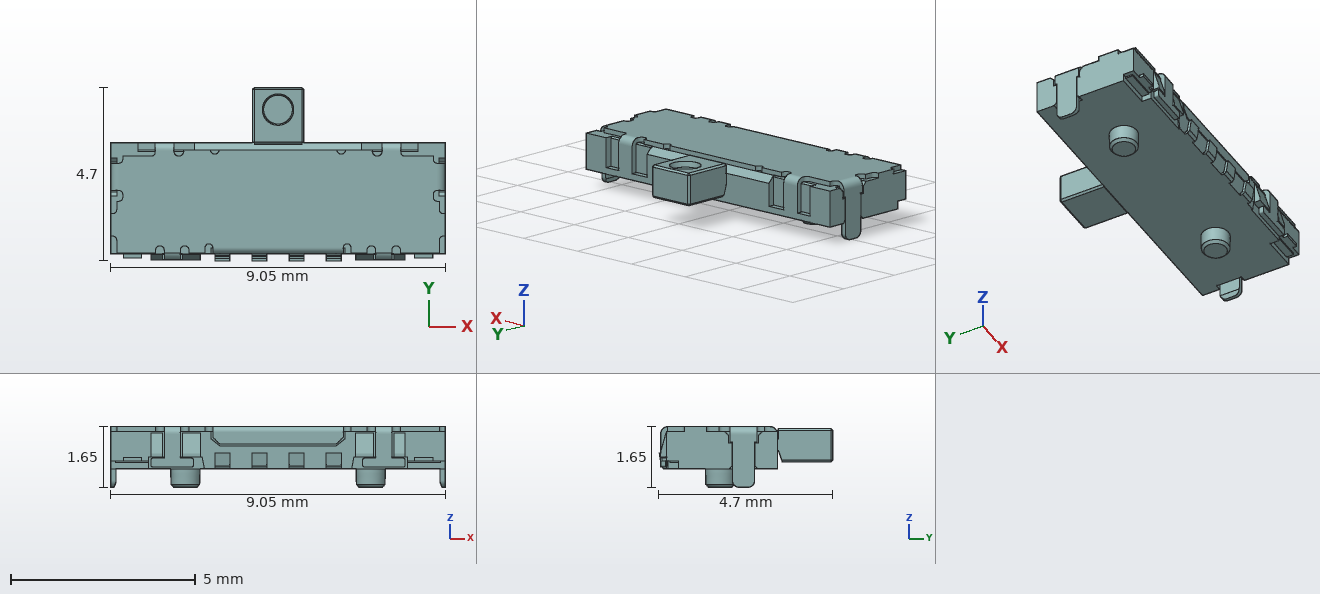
import cadquery as cq
import math


LENGTH = 9.05
HALF_LENGTH = LENGTH / 2
DEPTH = 3.005
HEIGHT = 1.01

COVER_TOP = 1.15
SHEET = 0.145
COVER_FRONT = 0.03
COVER_SIDE = 4.36
EAR_START = 0.48
EAR_END = 1.09
COVER_BACK = 2.815
CORNER_BACK = 2.64
CORNER_SIDE = 4.2
LEDGE_RADIUS = 0.11
RELIEF_DEPTH = 0.22
RELIEF_WIDTH = 0.235

TAB_X = 2.86
TAB_WIDTH = 0.43
TAB_REACH = 0.16
TAB_BEND = 0.21
TAB_BOTTOM = 0.05
FOOT_INNER = 2.29
FOOT_OUTER = 3.44
FOOT_TOP = 0.29
FOOT_RADIUS = 0.045
FOOT_POCKET_DEPTH = 0.04
FOOT_POCKET_INNER = 1.99
FOOT_POCKET_DRAFT = 0.06

WEDGE_SPANS = [(2.1, 2.59), (3.13, 3.44)]
WEDGE_TOP = 0.97
WEDGE_KNEE = 0.41
WEDGE_BOTTOM = 0.33
WEDGE_ROOT = 0.02
WEDGE_REACH = 0.17

LIP_HALF = 1.765
LIP_BEND = 0.16
LIP_BOTTOM = 0.67
LIP_CORNER = 0.19
LIP_GAP = 0.045
LIP_POCKET_DEPTH = 0.16
LIP_RELIEF_DEPTH = 0.27
LIP_RELIEF_WIDTH = 0.21

REAR_TAB_INNER = 2.815
REAR_TAB_OUTER = 3.32
REAR_TAB_BEND = 0.22
REAR_TAB_BOTTOM = 0.18
REAR_POCKET_OUTER = 3.78
REAR_POCKET_DEPTH = 0.19
REAR_POCKET_CHAMFER = 0.045
REAR_RELIEF_INNER = 2.55
REAR_DIMPLE_X = 1.71
REAR_DIMPLE_RADIUS = 0.12

LEG_Y = 2.08
LEG_SHOULDER_WIDTH = 0.73
LEG_WIDTH = 0.61
LEG_SHOULDER_BOTTOM = 0.72
LEG_BEND = 0.23
LEG_BOTTOM = -0.5
LEG_TIP_RADIUS = 0.18
LEG_TIP_TAPER = 0.05
LEG_TAPER_HEIGHT = 0.14
LEG_SLOT_DEPTH = 0.17
LEG_SLOT_WIDTH = 0.63
LEG_SLOT_SHOULDER = 0.805
LEG_SLOT_STEP = 0.7
LEG_SLOT_TOP_CHAMFER = 0.11
LEG_SLOT_FOOT_CHAMFER = 0.07
LEG_RELIEF_FRONT = 1.42

KNOB_WIDTH = 1.39
KNOB_END = 4.5
KNOB_BOTTOM = 0.18
KNOB_TOP = 1.095
KNOB_CHAMFER = 0.05
KNOB_CLEARANCE = 0.02
KNOB_UNDERCUT = 0.11
KNOB_UNDERCUT_TOP = 0.5
NECK_TOP = 0.81
NECK_RAMP = 0.08
NECK_KEY_WIDTH = 0.79
NECK_KEY_TOP = 0.85
DIMPLE_Y = 3.9
DIMPLE_RADIUS = 0.425
DIMPLE_FLOOR_RADIUS = 0.39
DIMPLE_DEPTH = 0.15
SLIDE_HALF = 2.26
SLIDE_CHAMFER = 0.19

TERMINAL_PITCH = 1.005
TERMINAL_WIDTH = 0.41
TERMINAL_SHEET = 0.07
TERMINAL_TOP = 0.425
TERMINAL_KNEE = 0.08
TERMINAL_REACH = 0.2
TERMINAL_KNEE_REACH = 0.145
TERMINAL_FOOT_REACH = 0.08
BAR_X = 3.94
BAR_WIDTH = 0.5
BAR_REACH = 0.12
BAR_HEIGHT = 0.09
NOTCH_INNER = 3.5
NOTCH_DEPTH = 0.32
NOTCH_HEIGHT = 0.22
NOTCH_PLATE_FRONT = 0.1
NOTCH_PLATE_OUTER = 4.4
NOTCH_PLATE_THICKNESS = 0.045

PEG_X = 2.51
PEG_Y = 1.45
PEG_RADIUS = 0.4
PEG_TIP_RADIUS = 0.39
PEG_END_RADIUS = 0.32
PEG_COLLAR = 0.11
PEG_TIP = 0.42
PEG_LENGTH = 0.5

OVERLAP = 0.045


def block(x0, x1, y0, y1, z0, z1):
    """Box given by its limits along each axis."""
    return cq.Workplane("XY").box(x1 - x0, y1 - y0, z1 - z0, centered=False).translate((x0, y0, z0))


def along_x(points, x0, x1):
    """Extrude a (y, z) outline from x0 to x1."""
    return cq.Workplane("YZ").polyline(points).close().extrude(x1 - x0).translate((x0, 0, 0))


def along_y(points, y0, y1):
    """Extrude an (x, z) outline from y0 to y1."""
    return cq.Workplane("XZ").polyline(points).close().extrude(y0 - y1).translate((0, y0, 0))


def both_sides(shape):
    """Shape together with its mirror image across X = 0."""
    return shape.union(shape.mirror("YZ"))


def bent_strip(width, bend, bottom):
    """Strip leaving the cover toward -Y and bent down, its outer face on Y = 0."""
    inner = bend - SHEET
    lean = math.sqrt(0.5)
    bend_z = COVER_TOP - bend
    return (
        cq.Workplane("YZ")
        .moveTo(bend + OVERLAP, COVER_TOP)
        .lineTo(bend, COVER_TOP)
        .threePointArc((bend - bend * lean, bend_z + bend * lean), (0, bend_z))
        .lineTo(0, bottom)
        .lineTo(SHEET, bottom)
        .lineTo(SHEET, bend_z)
        .threePointArc((bend - inner * lean, bend_z + inner * lean), (bend, COVER_TOP - SHEET))
        .lineTo(bend + OVERLAP, COVER_TOP - SHEET)
        .close()
        .extrude(width / 2, both=True)
    )


def lip_outline(gap):
    """Front lip outline in X-Z, grown by a gap all round."""
    half = LIP_HALF + gap
    bottom = LIP_BOTTOM - gap
    corner = LIP_CORNER
    return [
        (-half, COVER_TOP),
        (-half, bottom + corner),
        (-half + corner + gap, bottom),
        (half - corner - gap, bottom),
        (half, bottom + corner),
        (half, COVER_TOP),
    ]


def make_housing():
    body = block(-HALF_LENGTH, HALF_LENGTH, 0, DEPTH, 0, HEIGHT)

    slide_slope = [(DEPTH - SLIDE_CHAMFER, HEIGHT), (DEPTH, HEIGHT), (DEPTH, HEIGHT - SLIDE_CHAMFER)]
    body = body.cut(along_x(slide_slope, -SLIDE_HALF, SLIDE_HALF))

    body = body.cut(along_y(lip_outline(LIP_GAP), 0, LIP_POCKET_DEPTH))

    wall = DEPTH - REAR_POCKET_DEPTH
    rear_pocket = [
        (DEPTH, REAR_TAB_BOTTOM),
        (wall, REAR_TAB_BOTTOM),
        (wall, HEIGHT - REAR_POCKET_CHAMFER),
        (wall - REAR_POCKET_CHAMFER, HEIGHT),
        (DEPTH, HEIGHT),
    ]
    body = body.cut(both_sides(along_x(rear_pocket, SLIDE_HALF, REAR_POCKET_OUTER)))

    half_slot = LEG_SLOT_WIDTH / 2
    half_shoulder = LEG_SLOT_SHOULDER / 2
    right_half = [
        (half_slot + LEG_SLOT_FOOT_CHAMFER, 0),
        (half_slot, LEG_SLOT_FOOT_CHAMFER),
        (half_slot, LEG_SLOT_STEP),
        (half_shoulder, LEG_SLOT_STEP),
        (half_shoulder, HEIGHT - LEG_SLOT_TOP_CHAMFER),
        (half_shoulder + LEG_SLOT_TOP_CHAMFER, HEIGHT),
    ]
    left_half = [(-y, z) for y, z in reversed(right_half)]
    slot_outline = [(LEG_Y + y, z) for y, z in right_half + left_half]
    leg_slot = along_x(slot_outline, HALF_LENGTH - LEG_SLOT_DEPTH, HALF_LENGTH)
    body = body.cut(both_sides(leg_slot))

    foot_pocket = [
        (FOOT_POCKET_INNER, 0),
        (NOTCH_INNER, 0),
        (NOTCH_INNER, WEDGE_BOTTOM),
        (FOOT_POCKET_INNER + FOOT_POCKET_DRAFT, WEDGE_BOTTOM),
    ]
    body = body.cut(both_sides(along_y(foot_pocket, 0, FOOT_POCKET_DEPTH)))

    notch = block(NOTCH_INNER, HALF_LENGTH, 0, NOTCH_DEPTH, 0, NOTCH_HEIGHT)
    plate = block(
        NOTCH_INNER, NOTCH_PLATE_OUTER, NOTCH_PLATE_FRONT, NOTCH_DEPTH,
        NOTCH_HEIGHT - NOTCH_PLATE_THICKNESS, NOTCH_HEIGHT,
    )
    return body.cut(both_sides(notch.cut(plate)))


def make_wedges():
    outline = [
        (OVERLAP, WEDGE_TOP),
        (-WEDGE_ROOT, WEDGE_TOP),
        (-WEDGE_REACH, WEDGE_KNEE),
        (-WEDGE_REACH, WEDGE_BOTTOM),
        (OVERLAP, WEDGE_BOTTOM),
    ]
    wedges = cq.Workplane("XY")
    for inner, outer in WEDGE_SPANS:
        wedges = wedges.add(along_x(outline, inner, outer))
    return both_sides(wedges.combine())


def round_relief(x0, x1, y0, y1):
    """Cutter for a notch running in from y0 to a round end at y1."""
    radius = (x1 - x0) / 2
    end_y = y1 - math.copysign(radius, y1 - y0)
    mid_x = (x0 + x1) / 2
    return (
        cq.Workplane("XY")
        .moveTo(x0, y0)
        .lineTo(x0, end_y)
        .threePointArc((mid_x, y1), (x1, end_y))
        .lineTo(x1, y0)
        .close()
        .extrude(COVER_TOP)
    )


def make_cover_plate():
    leg_root = HALF_LENGTH - LEG_BEND
    leg_front = LEG_Y - LEG_SHOULDER_WIDTH / 2
    leg_back = LEG_Y + LEG_SHOULDER_WIDTH / 2
    rear_root = DEPTH - REAR_TAB_BEND
    half_outline = [
        (0, LIP_BEND),
        (LIP_HALF, LIP_BEND),
        (LIP_HALF, COVER_FRONT),
        (HALF_LENGTH, COVER_FRONT),
        (HALF_LENGTH, leg_front),
        (leg_root, leg_front),
        (leg_root, leg_back),
        (HALF_LENGTH, leg_back),
        (HALF_LENGTH, rear_root),
        (REAR_TAB_INNER, rear_root),
        (REAR_TAB_INNER, COVER_BACK),
        (0, COVER_BACK),
    ]
    half_plate = cq.Workplane("XY").polyline(half_outline).close().extrude(COVER_TOP - HEIGHT)
    half_plate = half_plate.translate((0, 0, HEIGHT))

    past_front = -DEPTH
    past_back = 2 * DEPTH
    past_side = LENGTH
    ledges = [
        (COVER_SIDE, past_front, EAR_START),
        (COVER_SIDE, EAR_END, leg_front),
        (CORNER_SIDE, LEG_RELIEF_FRONT, leg_front),
        (CORNER_SIDE, leg_back, past_back),
        (REAR_TAB_OUTER, CORNER_BACK, past_back),
    ]
    for inner_x, front_y, back_y in ledges:
        ledge = block(inner_x, past_side, front_y, back_y, HEIGHT, COVER_TOP)
        half_plate = half_plate.cut(ledge.edges("|Z and <X").fillet(LEDGE_RADIUS))

    tab_inner = TAB_X - TAB_WIDTH / 2
    tab_outer = TAB_X + TAB_WIDTH / 2
    reliefs = [
        round_relief(tab_inner - RELIEF_WIDTH, tab_inner, 0, RELIEF_DEPTH),
        round_relief(tab_outer, tab_outer + RELIEF_WIDTH, 0, RELIEF_DEPTH),
        round_relief(LIP_HALF, LIP_HALF + LIP_RELIEF_WIDTH, 0, LIP_RELIEF_DEPTH),
        round_relief(REAR_RELIEF_INNER, REAR_TAB_INNER, DEPTH, CORNER_BACK),
        cq.Workplane("XY").center(REAR_DIMPLE_X, COVER_BACK).circle(REAR_DIMPLE_RADIUS).extrude(COVER_TOP),
    ]
    for relief in reliefs:
        half_plate = half_plate.cut(relief)
    return both_sides(half_plate)


def make_front_tab():
    tab = bent_strip(TAB_WIDTH, TAB_BEND, TAB_BOTTOM).translate((TAB_X, -TAB_REACH, 0))
    foot = block(FOOT_INNER, FOOT_OUTER, -TAB_REACH, SHEET - TAB_REACH, TAB_BOTTOM, FOOT_TOP)
    return tab.union(foot.edges("|Y").fillet(FOOT_RADIUS))


def make_lip():
    lip = bent_strip(2 * LIP_HALF, LIP_BEND, LIP_BOTTOM)
    return lip.intersect(along_y(lip_outline(0), 0, LIP_BEND + OVERLAP))


def make_rear_tab():
    width = REAR_TAB_OUTER - REAR_TAB_INNER
    tab = bent_strip(width, REAR_TAB_BEND, REAR_TAB_BOTTOM).rotate((0, 0, 0), (0, 0, 1), 180)
    return tab.translate(((REAR_TAB_INNER + REAR_TAB_OUTER) / 2, DEPTH, 0))


def make_leg():
    shoulder = bent_strip(LEG_SHOULDER_WIDTH, LEG_BEND, LEG_SHOULDER_BOTTOM)
    shank = block(-LEG_WIDTH / 2, LEG_WIDTH / 2, 0, SHEET, LEG_BOTTOM, LEG_SHOULDER_BOTTOM)
    shank = shank.edges("|Y and <Z").fillet(LEG_TIP_RADIUS)
    taper = [
        (SHEET, LEG_BOTTOM + LEG_TAPER_HEIGHT),
        (SHEET, LEG_BOTTOM),
        (SHEET - LEG_TIP_TAPER, LEG_BOTTOM),
    ]
    shank = shank.cut(along_x(taper, -LEG_WIDTH / 2, LEG_WIDTH / 2))
    leg = shoulder.union(shank).rotate((0, 0, 0), (0, 0, 1), 90)
    return leg.translate((HALF_LENGTH, LEG_Y, 0))


def make_knob():
    half = KNOB_WIDTH / 2
    near = DEPTH + KNOB_CLEARANCE
    knob = block(-half, half, near, KNOB_END, KNOB_BOTTOM, KNOB_TOP)
    knob = knob.faces(">Z or <Z or >Y").edges("not <Y").chamfer(KNOB_CHAMFER)
    undercut = [
        (near, KNOB_BOTTOM),
        (near + KNOB_UNDERCUT, KNOB_BOTTOM),
        (near, KNOB_UNDERCUT_TOP),
    ]
    knob = knob.cut(along_x(undercut, -half, half))
    dimple_floor = cq.Vector(0, DIMPLE_Y, KNOB_TOP - DIMPLE_DEPTH)
    knob = knob.cut(cq.Solid.makeCone(DIMPLE_FLOOR_RADIUS, DIMPLE_RADIUS, DIMPLE_DEPTH, dimple_floor))

    neck = block(-half, half, COVER_BACK, near + OVERLAP, KNOB_UNDERCUT_TOP, NECK_TOP)
    half_key = NECK_KEY_WIDTH / 2
    key = block(-half_key, half_key, COVER_BACK, near + OVERLAP, NECK_TOP, NECK_KEY_TOP)
    ramp = [
        (near - NECK_RAMP, NECK_TOP),
        (near, KNOB_TOP),
        (near + OVERLAP, KNOB_TOP),
        (near + OVERLAP, NECK_TOP),
    ]
    half_ramp = half - KNOB_CHAMFER
    return knob.union(neck).union(key).union(along_x(ramp, -half_ramp, half_ramp))


def make_terminals():
    outline = [
        (OVERLAP, 0),
        (-TERMINAL_FOOT_REACH, 0),
        (-TERMINAL_KNEE_REACH, TERMINAL_KNEE),
        (-TERMINAL_REACH, TERMINAL_TOP),
        (-TERMINAL_REACH + TERMINAL_SHEET, TERMINAL_TOP),
        (-TERMINAL_KNEE_REACH + TERMINAL_SHEET, TERMINAL_KNEE + TERMINAL_SHEET / 2),
        (-TERMINAL_FOOT_REACH + TERMINAL_SHEET / 2, TERMINAL_SHEET),
        (OVERLAP, TERMINAL_SHEET),
    ]
    terminals = cq.Workplane("XY")
    for pitches_from_centre in (0.5, 1.5):
        middle = pitches_from_centre * TERMINAL_PITCH
        strip = along_x(outline, middle - TERMINAL_WIDTH / 2, middle + TERMINAL_WIDTH / 2)
        terminals = terminals.add(strip)
    return both_sides(terminals.combine())


def make_bar():
    return block(
        BAR_X - BAR_WIDTH / 2, BAR_X + BAR_WIDTH / 2, -BAR_REACH, OVERLAP,
        NOTCH_HEIGHT, NOTCH_HEIGHT + BAR_HEIGHT,
    )


def make_peg():
    outline = [
        (0, OVERLAP),
        (PEG_RADIUS, OVERLAP),
        (PEG_RADIUS, -PEG_COLLAR),
        (PEG_TIP_RADIUS, -PEG_TIP),
        (PEG_END_RADIUS, -PEG_LENGTH),
        (0, -PEG_LENGTH),
    ]
    peg = cq.Workplane("XZ").polyline(outline).close().revolve(360, (0, 0, 0), (0, 1, 0))
    return peg.translate((PEG_X, PEG_Y, 0))


result = make_housing().union(make_wedges()).union(make_cover_plate()).union(make_lip())
for mirrored_piece in (make_front_tab(), make_rear_tab(), make_leg(), make_bar(), make_peg()):
    result = result.union(both_sides(mirrored_piece))
result = result.union(make_knob()).union(make_terminals())